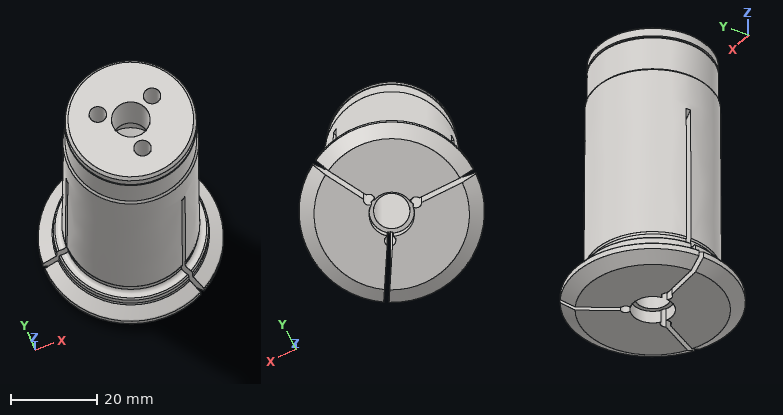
import cadquery as cq
import math

length = 70.0
slope_30 = math.tan(math.radians(30))

flange_r = 21.5
base_r = 18.0
flange_bottom_z = (flange_r - base_r) * slope_30
flange_edge_break = 0.2
flange_rim_z = 3.7
collar_r = base_r
collar_top_z = 8.0
collar_chamfer = 0.4
collar_foot_width = 0.25
collar_foot_height = 0.5

relief_r = 15.75
relief_fillet = 1.2
relief_fillet_width = 1.1
relief_top_z = 10.3
relief_chamfer_height = 0.5

body_bottom_r = 16.0
body_top_r = 15.75
body_top_z = 57.2
shoulder_height = 0.6

neck_r = 30.5 / 2
cap_seam_z = 67.2
seam_gap = 0.15
seam_chamfer = 0.45
cap_chamfer = 0.7

cap_thread_r = 8.92 / 2
cap_inner_z = 58.0
tool_bore_r = 4.2
nose_recess_r = 10.5 / 2
nose_recess_depth = 3.3
drill_slope = math.tan(math.radians(31))
wide_bore_r = 21.0 / 2
wide_bore_z = 54.0
middle_bore_r = 15.5 / 2
middle_bore_z = 48.0
narrow_bore_r = 10.5 / 2
narrow_bore_z = 42.0

cap_hole_d = 4.0
cap_hole_pitch_r = 7.75
cap_hole_angles = (30, 150, 270)

slot_width = 1.2
slot_top_z = 47.5
slot_hole_r = 1.3
slot_hole_center_r = 6.3
slot_hole_top_z = 39.8
slot_angles = (60, 180, 300)


def cone_end_z(outer_r, inner_r, outer_z):
    """Height at which a drill-point cone starting at outer_r has narrowed to inner_r."""
    return outer_z - (outer_r - inner_r) * drill_slope


def make_body():
    """Solid of revolution of the outer shape."""
    rim_top_r = flange_r - flange_edge_break
    foot_r = collar_r + collar_foot_width
    foot_z = flange_rim_z + (rim_top_r - foot_r) * slope_30
    fillet_center_r = relief_r + relief_fillet_width
    fillet_center_z = collar_top_z + relief_fillet
    fillet_end_angle = math.acos(relief_fillet_width / relief_fillet)
    fillet_mid_angle = (fillet_end_angle + math.pi / 2) / 2
    fillet_mid_r = fillet_center_r - relief_fillet * math.cos(fillet_mid_angle)
    fillet_mid_z = fillet_center_z - relief_fillet * math.sin(fillet_mid_angle)
    fillet_top_z = fillet_center_z - relief_fillet * math.sin(fillet_end_angle)
    seam_floor_z = cap_seam_z - seam_gap
    profile = (
        cq.Workplane("XZ")
        .moveTo(0, 0)
        .lineTo(base_r, 0)
        .lineTo(flange_r, flange_bottom_z)
        .lineTo(flange_r, flange_rim_z - flange_edge_break)
        .lineTo(rim_top_r, flange_rim_z)
        .lineTo(foot_r, foot_z)
        .lineTo(collar_r, foot_z + collar_foot_height)
        .lineTo(collar_r, collar_top_z - collar_chamfer)
        .lineTo(collar_r - collar_chamfer, collar_top_z)
        .lineTo(fillet_center_r, collar_top_z)
        .threePointArc((fillet_mid_r, fillet_mid_z), (relief_r, fillet_top_z))
        .lineTo(relief_r, relief_top_z)
        .lineTo(body_bottom_r, relief_top_z + relief_chamfer_height)
        .lineTo(body_top_r, body_top_z)
        .lineTo(neck_r, body_top_z + shoulder_height)
        .lineTo(neck_r, seam_floor_z - seam_chamfer)
        .lineTo(neck_r - seam_chamfer, seam_floor_z)
        .lineTo(neck_r - seam_chamfer, cap_seam_z)
        .lineTo(neck_r, cap_seam_z)
        .lineTo(neck_r, length - cap_chamfer)
        .lineTo(neck_r - cap_chamfer, length)
        .lineTo(0, length)
        .close()
    )
    return profile.revolve(360, (0, 0, 0), (0, 1, 0))


def make_bore():
    """Central cavity: nose recess, tool bore, stepped bores with conical floors, cap hole."""
    profile = (
        cq.Workplane("XZ")
        .moveTo(0, 0)
        .lineTo(nose_recess_r, 0)
        .lineTo(nose_recess_r, nose_recess_depth)
        .lineTo(tool_bore_r, nose_recess_depth)
        .lineTo(tool_bore_r, cone_end_z(narrow_bore_r, tool_bore_r, narrow_bore_z))
        .lineTo(narrow_bore_r, narrow_bore_z)
        .lineTo(narrow_bore_r, cone_end_z(middle_bore_r, narrow_bore_r, middle_bore_z))
        .lineTo(middle_bore_r, middle_bore_z)
        .lineTo(middle_bore_r, cone_end_z(wide_bore_r, middle_bore_r, wide_bore_z))
        .lineTo(wide_bore_r, wide_bore_z)
        .lineTo(wide_bore_r, cap_inner_z)
        .lineTo(cap_thread_r, cap_inner_z)
        .lineTo(cap_thread_r, length)
        .lineTo(0, length)
        .close()
    )
    return profile.revolve(360, (0, 0, 0), (0, 1, 0))


def make_cap_hole(angle):
    """Cylinder for one hole from the top face down into the cavity."""
    hole = cq.Workplane("XY", origin=(cap_hole_pitch_r, 0, cap_inner_z))
    hole = hole.circle(cap_hole_d / 2).extrude(length - cap_inner_z)
    return hole.rotate((0, 0, 0), (0, 0, 1), angle)


def make_slot(angle):
    """Radial slot ending in an axial hole beside the tool bore; its roof slopes down inward."""
    taper = (body_bottom_r - body_top_r) / (body_top_z - relief_top_z - relief_chamfer_height)
    surface_r = body_top_r + (body_top_z - slot_top_z) * taper
    roof_slope = (slot_top_z - slot_hole_top_z) / (surface_r - slot_hole_center_r + slot_hole_r)
    roof_inner_z = slot_top_z - (surface_r - slot_hole_center_r) * roof_slope
    slot = (
        cq.Workplane("XZ", origin=(0, slot_width / 2, 0))
        .moveTo(slot_hole_center_r, 0)
        .lineTo(flange_r, 0)
        .lineTo(flange_r, slot_top_z)
        .lineTo(surface_r, slot_top_z)
        .lineTo(slot_hole_center_r, roof_inner_z)
        .close()
        .extrude(slot_width)
    )
    end_hole = cq.Workplane("XY", origin=(slot_hole_center_r, 0, 0))
    end_hole = end_hole.circle(slot_hole_r).extrude(slot_hole_top_z)
    return slot.union(end_hole).rotate((0, 0, 0), (0, 0, 1), angle)


result = make_body().cut(make_bore())
for hole_angle in cap_hole_angles:
    result = result.cut(make_cap_hole(hole_angle))
for slot_angle in slot_angles:
    result = result.cut(make_slot(slot_angle))